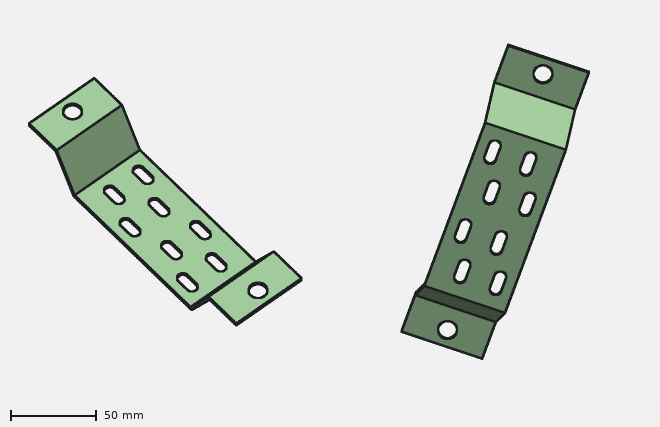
import cadquery as cq
import math

length = 187.0
width = 50.0
height = 30.0
thickness = 1.9

flange_length = 25.0
leg_angle = 60.0

hole_diameter = 11.0
hole_edge_distance = 10.0

slot_length = 15.0
slot_width = 7.0
outer_column_x = 37.5
inner_column_x = 14.0
far_row_y = 15.0
near_row_y = 7.1

leg_run = (height - thickness) / math.tan(math.radians(leg_angle))
miter_shift = thickness * math.tan(math.radians(leg_angle / 2))
end_x = length / 2
top_fold_x = end_x - flange_length
base_fold_x = top_fold_x - leg_run


def make_strip():
    """Bent sheet profile, symmetric about X = 0, extruded across the width."""
    right_half = [
        (base_fold_x + miter_shift, 0),
        (top_fold_x + miter_shift, height - thickness),
        (end_x, height - thickness),
        (end_x, height),
        (top_fold_x, height),
        (base_fold_x, thickness),
    ]
    left_half = [(-x, z) for x, z in reversed(right_half)]
    profile = cq.Workplane("XZ").polyline(right_half + left_half).close()
    return profile.extrude(width / 2, both=True)


def make_flange_holes():
    hole_x = end_x - hole_edge_distance
    plane = cq.Workplane("XY").workplane(offset=height - thickness)
    return plane.pushPoints([(-hole_x, 0), (hole_x, 0)]).circle(hole_diameter / 2).extrude(thickness)


def make_slots():
    """Alternate slot columns are shifted in Y, two slots in each column."""
    high_columns = [-outer_column_x, inner_column_x]
    low_columns = [-inner_column_x, outer_column_x]
    centers = [(x, y) for x in high_columns for y in (far_row_y, -near_row_y)]
    centers += [(x, y) for x in low_columns for y in (near_row_y, -far_row_y)]
    return cq.Workplane("XY").pushPoints(centers).slot2D(slot_length, slot_width).extrude(thickness)


result = make_strip().cut(make_flange_holes()).cut(make_slots())